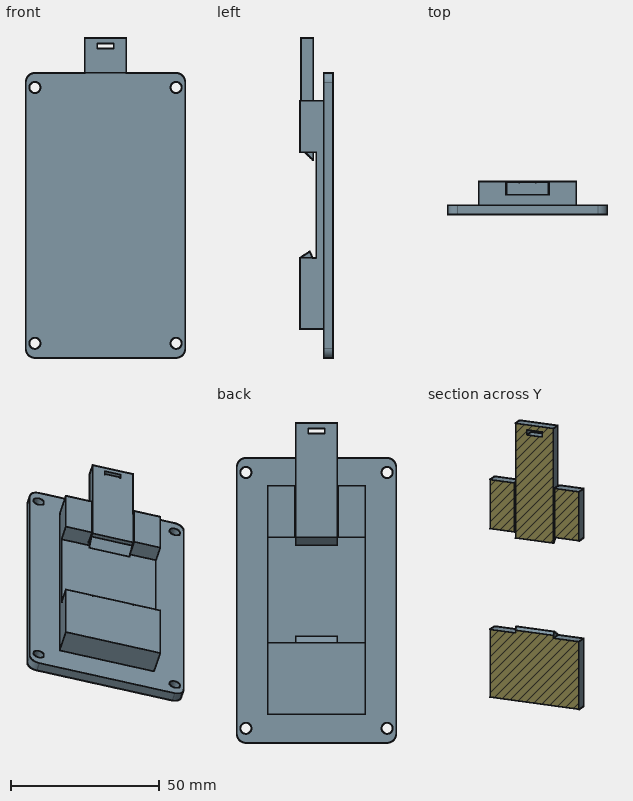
import cadquery as cq

plate_width = 53.8
plate_height = 96.1
plate_thickness = 3.2
corner_radius = 3.2
hole_diameter = 3.7
hole_inset_x = 3.1
hole_inset_z = 5.0

total_depth = 11.2
housing_width = 33.0
housing_bottom = 9.7
housing_top = 86.7
recess_bottom = 33.7
recess_top = 69.2
web_thickness = 2.5

total_height = 107.8
bolt_width = 14.1
bolt_thickness = 4.2
bolt_clearance = 0.3
bolt_back = total_depth - bolt_clearance
bolt_floor = bolt_back - bolt_thickness
channel_width = bolt_width + 2 * bolt_clearance

wedge_drop = 2.7
wedge_depth = 2.8

pull_slot_width = 5.5
pull_slot_height = 1.6
pull_slot_top_gap = 1.9

catch_rise = 2.2
catch_front = 6.9
catch_peak = 7.9


def box_between(width, y_range, z_range):
    """Box centred on X that spans the given Y and Z ranges."""
    y_start, y_end = y_range
    z_start, z_end = z_range
    depth = y_end - y_start
    height = z_end - z_start
    return cq.Workplane("XY").box(width, depth, height, centered=(True, False, False)).translate(
        (0, y_start, z_start)
    )


def prism(width, outline):
    """Prism centred on X with an outline of (Y, Z) points."""
    return cq.Workplane("YZ").polyline(outline).close().extrude(width / 2, both=True)


def make_plate():
    plate = box_between(plate_width, (0, plate_thickness), (0, plate_height))
    plate = plate.edges("|Y").fillet(corner_radius)
    holes = (
        cq.Workplane("XZ", origin=(0, 0, plate_height / 2))
        .rect(plate_width - 2 * hole_inset_x, plate_height - 2 * hole_inset_z, forConstruction=True)
        .vertices()
        .circle(hole_diameter / 2)
        .extrude(-plate_thickness)
    )
    return plate.cut(holes)


def make_housing():
    web_back = plate_thickness + web_thickness
    housing = box_between(housing_width, (plate_thickness, total_depth), (housing_bottom, housing_top))
    recess = box_between(housing_width, (web_back, total_depth), (recess_bottom, recess_top))
    channel = box_between(channel_width, (bolt_floor, total_depth), (recess_top, housing_top))
    return housing.cut(recess).cut(channel)


def make_bolt():
    bar = box_between(bolt_width, (bolt_floor, bolt_back), (recess_top, total_height))
    wedge = prism(
        bolt_width,
        [
            (bolt_floor, recess_top),
            (bolt_floor, recess_top - wedge_drop),
            (bolt_floor + wedge_depth, recess_top),
        ],
    )
    slot_top = total_height - pull_slot_top_gap
    pull_slot = box_between(
        pull_slot_width, (bolt_floor, bolt_back), (slot_top - pull_slot_height, slot_top)
    )
    return bar.union(wedge).cut(pull_slot)


def make_catch():
    return prism(
        bolt_width,
        [
            (catch_front, recess_bottom),
            (catch_peak, recess_bottom + catch_rise),
            (total_depth, recess_bottom),
        ],
    )


result = make_plate().union(make_housing()).union(make_bolt()).union(make_catch())